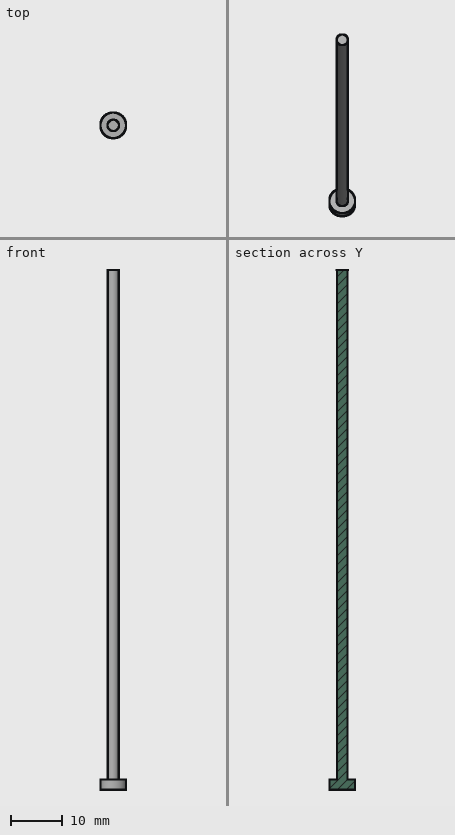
import cadquery as cq

total_length = 100.0
head_diameter = 5.0
head_height = 2.0
shaft_diameter = 2.2

head = cq.Workplane("XY").circle(head_diameter / 2).extrude(head_height)
shaft = cq.Workplane("XY").circle(shaft_diameter / 2).extrude(total_length)

result = head.union(shaft)